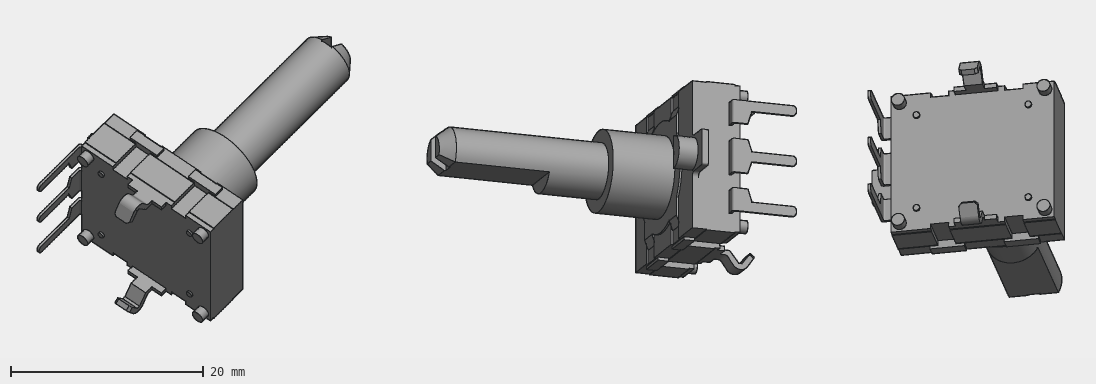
import cadquery as cq


HOUSING_LEFT = -9.13
HOUSING_RIGHT = 8.25
HOUSING_CENTER_X = (HOUSING_LEFT + HOUSING_RIGHT) / 2
BASE_TOP = 0.55
MIDDLE_TOP = 3.73
COVER_TOP = 5.3
BASE_HALF_HEIGHT = 7.95
MIDDLE_HALF_HEIGHT = 8.07
COVER_HALF_HEIGHT = 8.0

COLLAR_DIAMETER = 8.8
COLLAR_END = 12.35
SHAFT_DIAMETER = 6.0
SHAFT_END = 30.7
TIP_LENGTH = 1.5
TIP_DIAMETER = 3.8
FLAT_START = 18.77
FLAT_Z = -1.45
FLAT_TIP_INSET = 0.88
SLOT_WIDTH = 1.35
SLOT_DEPTH = 1.65

FLANGE_DIAMETER = 11.98
FLANGE_TOP = 5.5
ARM_CENTER_X = 3.75
ARM_WIDTH = 2.23
ARM_BEND_Z = 5.45
ARM_FLOOR_Z = 6.5
ARM_FLOOR_Y = 5.1
STRAP_CENTER_X = 3.95
STRAP_WIDTH = 1.95
STRAP_FACE_Z = 7.45
FOOT_WIDTH = 3.65
FOOT_BOTTOM = 3.85
FOOT_TOP = 5.0
FOOT_FACE_Z = 8.33

PEG_DIAMETER = 1.4
PEG_HEIGHT = 1.0
PEG_OFFSET_X = 7.75
PEG_OFFSET_Z = 7.05
PIP_DIAMETER = 0.7
PIP_HEIGHT = 0.22
PIP_OFFSET_X = 5.95
PIP_OFFSET_Z = 5.45

CLIP_WIDTH = 1.97
CLIP_INNER_Z = 7.45
CLIP_SPAN = 18.8
CLIP_CREST_Z = CLIP_SPAN / 2
CLIP_CREST_Y = -3.0
CLIP_CREST_HALF_SPAN = 0.75
CLIP_CREST_DROP = 0.347
CLIP_INNER_CREST_Z = 8.73
CLIP_INNER_CREST_WIDTH = 0.35
CLIP_INNER_BEND_Y = -1.8
CLIP_BEND_START_Y = -1.2
CLIP_BEND_END = (-1.65, 8.2)
CLIP_OUTER_TIP = (-4.65, 7.8)
CLIP_INNER_TIP = (-4.15, 7.45)
CLIP_TIP_CHAMFER = 0.3
TIP_SEARCH_MARGIN = 0.1
TONGUE_WIDTH = 4.53
TONGUE_DEPTH = 0.75

TERMINAL_LEFT = -10.37
TERMINAL_THICKNESS = 0.3
TERMINAL_TOP = 1.25
TERMINAL_END = -5.8
TERMINAL_OUTER_BEND_RADIUS = 0.25
TERMINAL_INNER_BEND_RADIUS = 0.2
BLADE_WIDTH = 1.1
BLADE_END_RADIUS = 0.45
SHOULDER_END = -0.45
TAPER_END = -0.88
OUTER_TERMINAL_Z = 6.03
OUTER_SHOULDER_WIDTH = 2.5
MIDDLE_SHOULDER_WIDTH = 3.65

TAB_LEFT = -12.12
TAB_BOTTOM = 4.6
TAB_WIDTH = 3.9
TAB_CORNER_RADIUS = 0.22
TAB_ROOT_RADIUS = 0.5
POST_RADIUS = 1.75
POST_TOP = 7.38

OVERLAP = 0.35


def block(x0, x1, y0, y1, z0, z1):
    """Box between two opposite corners."""
    return cq.Workplane("XY").box(x1 - x0, y1 - y0, z1 - z0, centered=False).translate((x0, y0, z0))


def rod(diameter, y0, y1, x=0, z=0):
    """Cylinder along Y from y0 to y1."""
    disc = cq.Workplane("XZ", origin=(x, y0, z)).circle(diameter / 2)
    return disc.extrude(y0 - y1)


def both_sides(solid):
    """The solid together with its mirror image across the plane Z = 0."""
    return solid.union(solid.mirror("XY"))


def side_profile(x_center):
    """Workplane whose local axes are the part's Y and Z, centred on x_center."""
    return cq.Workplane("YZ", origin=(x_center, 0, 0))


def make_housing():
    layers = (
        (0, BASE_TOP, BASE_HALF_HEIGHT),
        (BASE_TOP, MIDDLE_TOP, MIDDLE_HALF_HEIGHT),
        (MIDDLE_TOP, COVER_TOP, COVER_HALF_HEIGHT),
    )
    housing = cq.Workplane("XY")
    for bottom, top, half_height in layers:
        housing = housing.union(
            block(HOUSING_LEFT, HOUSING_RIGHT, bottom, top, -half_height, half_height)
        )
    return housing


def make_strap_recess(x_center):
    """Space above the strap face, from the seat up to the underside of the foot."""
    return block(
        x_center - STRAP_WIDTH / 2, x_center + STRAP_WIDTH / 2,
        0, FOOT_BOTTOM, STRAP_FACE_Z, MIDDLE_HALF_HEIGHT,
    )


def make_arm_recess(x_center):
    """Space in the cover above the sloping end of a frame arm."""
    outline = (
        (FLANGE_TOP, ARM_BEND_Z),
        (ARM_FLOOR_Y, ARM_FLOOR_Z),
        (ARM_FLOOR_Y, COVER_HALF_HEIGHT),
        (FLANGE_TOP, COVER_HALF_HEIGHT),
    )
    return side_profile(x_center).polyline(outline).close().extrude(ARM_WIDTH / 2, both=True)


def make_arm(x_center):
    """Frame arm running from under the collar to the side of the cover."""
    return block(
        x_center - ARM_WIDTH / 2, x_center + ARM_WIDTH / 2,
        COVER_TOP - OVERLAP, FLANGE_TOP, 0, ARM_FLOOR_Z,
    )


def make_foot(x_center):
    """Wide foot where a frame arm turns down the side of the cover."""
    return block(
        x_center - FOOT_WIDTH / 2, x_center + FOOT_WIDTH / 2,
        FOOT_BOTTOM, FOOT_TOP, STRAP_FACE_Z, FOOT_FACE_Z,
    )


def add_frame(body):
    body = body.union(rod(FLANGE_DIAMETER, COVER_TOP - OVERLAP, FLANGE_TOP))
    for side in (-1, 1):
        body = body.union(both_sides(make_arm(side * ARM_CENTER_X)))
        body = body.cut(both_sides(make_arm_recess(side * ARM_CENTER_X)))
        body = body.cut(both_sides(make_strap_recess(side * STRAP_CENTER_X)))
        body = body.union(both_sides(make_foot(side * STRAP_CENTER_X)))
    return body


def make_shaft():
    tip_start = SHAFT_END - TIP_LENGTH
    outline = (
        (0, 0),
        (SHAFT_DIAMETER / 2, 0),
        (SHAFT_DIAMETER / 2, tip_start),
        (TIP_DIAMETER / 2, SHAFT_END),
        (0, SHAFT_END),
    )
    shaft = cq.Workplane("XY").polyline(outline).close().revolve(360, (0, 0), (0, 1))

    below_flat = (
        (FLAT_START, FLAT_Z),
        (tip_start, FLAT_Z),
        (SHAFT_END, FLAT_Z + FLAT_TIP_INSET),
        (SHAFT_END, -SHAFT_DIAMETER),
        (FLAT_START, -SHAFT_DIAMETER),
    )
    flat = side_profile(0).polyline(below_flat).close().extrude(SHAFT_DIAMETER, both=True)

    slot = block(
        -SLOT_WIDTH / 2, SLOT_WIDTH / 2,
        SHAFT_END - SLOT_DEPTH, SHAFT_END, -SHAFT_DIAMETER, SHAFT_DIAMETER,
    )
    collar = rod(COLLAR_DIAMETER, COVER_TOP, COLLAR_END)
    return shaft.cut(flat).cut(slot).union(collar)


def make_pegs():
    """Four locating pegs and four small pips around the middle of the base."""
    pegs = cq.Workplane("XY")
    for side_x in (-1, 1):
        for side_z in (-1, 1):
            peg_x = HOUSING_CENTER_X + side_x * PEG_OFFSET_X
            pip_x = HOUSING_CENTER_X + side_x * PIP_OFFSET_X
            pegs = pegs.union(rod(PEG_DIAMETER, -PEG_HEIGHT, OVERLAP, peg_x, side_z * PEG_OFFSET_Z))
            pegs = pegs.union(rod(PIP_DIAMETER, -PIP_HEIGHT, OVERLAP, pip_x, side_z * PIP_OFFSET_Z))
    return pegs


def make_clip():
    """Snap clip on the +Z side: a wide tongue, then a narrow strip bent outward over a crest."""
    crest_start_y = CLIP_CREST_Y + CLIP_CREST_HALF_SPAN
    crest_end_y = CLIP_CREST_Y - CLIP_CREST_HALF_SPAN
    crest_side_z = CLIP_CREST_Z - CLIP_CREST_DROP
    strip = (
        side_profile(0)
        .moveTo(OVERLAP, CLIP_INNER_Z)
        .lineTo(OVERLAP, BASE_HALF_HEIGHT)
        .lineTo(CLIP_BEND_START_Y, BASE_HALF_HEIGHT)
        .tangentArcPoint(CLIP_BEND_END, relative=False)
        .lineTo(crest_start_y, crest_side_z)
        .threePointArc((CLIP_CREST_Y, CLIP_CREST_Z), (crest_end_y, crest_side_z))
        .lineTo(*CLIP_OUTER_TIP)
        .lineTo(*CLIP_INNER_TIP)
        .lineTo(CLIP_CREST_Y - CLIP_INNER_CREST_WIDTH / 2, CLIP_INNER_CREST_Z)
        .lineTo(CLIP_CREST_Y + CLIP_INNER_CREST_WIDTH / 2, CLIP_INNER_CREST_Z)
        .lineTo(CLIP_INNER_BEND_Y, CLIP_INNER_Z)
        .close()
        .extrude(CLIP_WIDTH / 2, both=True)
    )
    tip_corners = cq.selectors.BoxSelector(
        (-CLIP_WIDTH, CLIP_OUTER_TIP[0] + TIP_SEARCH_MARGIN, CLIP_INNER_TIP[1]),
        (CLIP_WIDTH, CLIP_INNER_TIP[0] - TIP_SEARCH_MARGIN, CLIP_OUTER_TIP[1]),
    )
    strip = strip.edges(tip_corners).chamfer(CLIP_TIP_CHAMFER)
    tongue = block(
        -TONGUE_WIDTH / 2, TONGUE_WIDTH / 2,
        -TONGUE_DEPTH, OVERLAP, CLIP_INNER_Z, BASE_HALF_HEIGHT,
    )
    return strip.union(tongue)


def make_terminal(shoulder_low, shoulder_high, blade_low):
    """Terminal leaving the housing sideways, bent down into a shoulder that tapers to a blade."""
    blade_high = blade_low + BLADE_WIDTH
    outline = (
        (TERMINAL_TOP, shoulder_low),
        (SHOULDER_END, shoulder_low),
        (TAPER_END, blade_low),
        (TERMINAL_END, blade_low),
        (TERMINAL_END, blade_high),
        (TAPER_END, blade_high),
        (SHOULDER_END, shoulder_high),
        (TERMINAL_TOP, shoulder_high),
    )
    plate = side_profile(TERMINAL_LEFT).polyline(outline).close().extrude(TERMINAL_THICKNESS)
    plate = plate.faces("<Y").edges("|X").fillet(BLADE_END_RADIUS)

    shelf_bottom = TERMINAL_TOP - TERMINAL_THICKNESS
    shelf = block(
        TERMINAL_LEFT, HOUSING_LEFT + OVERLAP,
        shelf_bottom, TERMINAL_TOP, shoulder_low, shoulder_high,
    )
    inner_bend_point = (
        TERMINAL_LEFT + TERMINAL_THICKNESS, shelf_bottom, (shoulder_low + shoulder_high) / 2
    )
    terminal = plate.union(shelf)
    terminal = terminal.edges("<X and >Y").fillet(TERMINAL_OUTER_BEND_RADIUS)
    inner_bend = cq.selectors.NearestToPointSelector(inner_bend_point)
    return terminal.edges(inner_bend).fillet(TERMINAL_INNER_BEND_RADIUS)


def make_terminals():
    outer = make_terminal(
        OUTER_TERMINAL_Z - OUTER_SHOULDER_WIDTH,
        OUTER_TERMINAL_Z,
        OUTER_TERMINAL_Z - BLADE_WIDTH,
    )
    middle = make_terminal(-MIDDLE_SHOULDER_WIDTH / 2, MIDDLE_SHOULDER_WIDTH / 2, -BLADE_WIDTH / 2)
    return both_sides(outer).union(middle)


def make_side_tab():
    """Tab flush with the cover, flared where it leaves the housing, with a half-round post on it."""
    half_width = TAB_WIDTH / 2
    tab = block(TAB_LEFT, HOUSING_LEFT + OVERLAP, TAB_BOTTOM, COVER_TOP, -half_width, half_width)
    tab = tab.edges("|Y and <X").fillet(TAB_CORNER_RADIUS)

    root_edge = half_width + TAB_ROOT_RADIUS
    flare_left = HOUSING_LEFT - TAB_ROOT_RADIUS
    flare = block(
        flare_left, HOUSING_LEFT + OVERLAP,
        TAB_BOTTOM, COVER_TOP, -root_edge, root_edge,
    )
    for side in (-1, 1):
        hollow = rod(2 * TAB_ROOT_RADIUS, TAB_BOTTOM, COVER_TOP, flare_left, side * root_edge)
        flare = flare.cut(hollow)

    post = rod(2 * POST_RADIUS, TAB_BOTTOM, POST_TOP, HOUSING_LEFT)
    post = post.intersect(
        block(TAB_LEFT, HOUSING_LEFT, TAB_BOTTOM, POST_TOP, -POST_RADIUS, POST_RADIUS)
    )
    return tab.union(flare).union(post)


result = (
    add_frame(make_housing())
    .union(make_shaft())
    .union(make_pegs())
    .union(both_sides(make_clip()))
    .union(make_terminals())
    .union(make_side_tab())
)